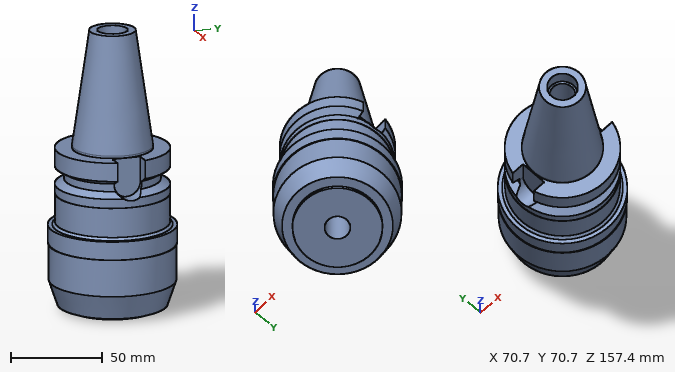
import cadquery as cq

total_height = 157.4

nose_radius = 24.5
nose_top = 2.2

nut_end_radius = 30.2
nut_radius = 35.0
nut_cone_top = 16.0
nut_top = 36.8

collar_radius = 35.34
collar_top = 47.2
collar_cone_radius = 32.9
collar_cone_top = 48.6

body_radius = 31.4
body_top = 65.2
flange_radius = 31.56
flange_top = 90.8

groove_radius = 26.5
groove_bottom = 70.4
groove_top = 80.5
groove_bevel_height = 2.8

taper_large_radius = 22.2
taper_small_radius = 12.7
taper_bottom = 92.2

bore_radius = 7.0
counterbore_radius = 8.3
counterbore_depth = 8.7

slot_width = 16.0
slot_floor = 22.5
slot_bottom = 69.0


def turned_body():
    """Tool holder outline revolved about Z, listed from bottom to top as (radius, height)."""
    outline = [
        (0, 0),
        (nose_radius, 0),
        (nose_radius, nose_top),
        (nut_end_radius, nose_top),
        (nut_radius, nut_cone_top),
        (nut_radius, nut_top),
        (collar_radius, nut_top),
        (collar_radius, collar_top),
        (collar_cone_radius, collar_top),
        (body_radius, collar_cone_top),
        (body_radius, body_top),
        (flange_radius, body_top),
        (flange_radius, groove_bottom),
        (groove_radius, groove_bottom + groove_bevel_height),
        (groove_radius, groove_top - groove_bevel_height),
        (flange_radius, groove_top),
        (flange_radius, flange_top),
        (taper_large_radius, flange_top),
        (taper_large_radius, taper_bottom),
        (taper_small_radius, total_height),
        (0, total_height),
    ]
    return cq.Workplane("YZ").polyline(outline).close().revolve(360, (0, 0), (0, 1))


def drive_slot(side):
    """Round-bottomed drive slot on the +X (side = 1) or -X (side = -1) flank."""
    half_width = slot_width / 2
    arc_center = slot_bottom + half_width
    return (
        cq.Workplane("YZ", origin=(side * slot_floor, 0, 0))
        .moveTo(-half_width, flange_top)
        .lineTo(-half_width, arc_center)
        .threePointArc((0, slot_bottom), (half_width, arc_center))
        .lineTo(half_width, flange_top)
        .close()
        .extrude(side * (collar_radius - slot_floor))
    )


result = turned_body()
for side in (-1, 1):
    result = result.cut(drive_slot(side))

result = (
    result.faces(">Z")
    .workplane(origin=(0, 0, total_height))
    .cboreHole(2 * bore_radius, 2 * counterbore_radius, counterbore_depth)
)